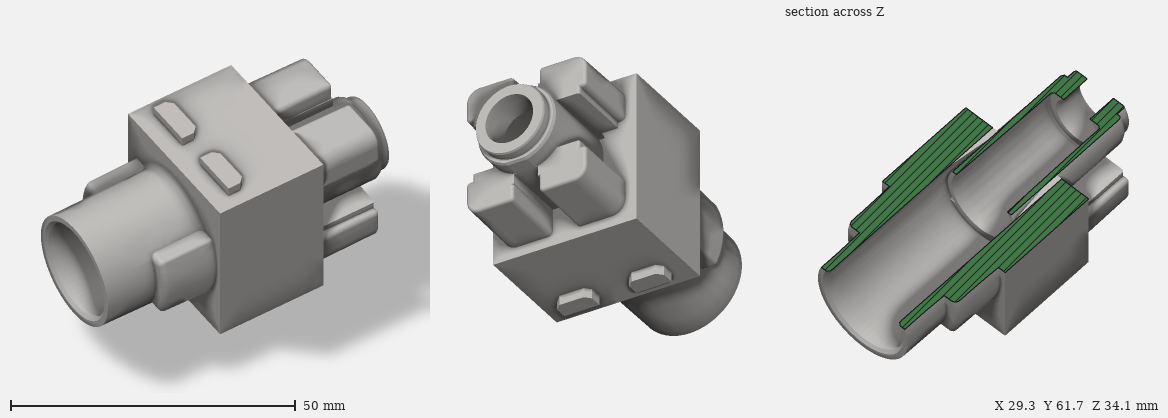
import cadquery as cq
import math


block_width = 29.3
block_height = 30.35
block_front = 21.0
block_back = 42.7

sleeve_draft = 0.6
sleeve_tip_radius = 10.7
sleeve_base_radius = sleeve_tip_radius + block_front * math.tan(math.radians(sleeve_draft))
sleeve_base_fillet = 1.05
sleeve_bore_radius = 9.0
sleeve_bore_chamfer = 0.55
sleeve_bore_depth = 30.85

barrel_radius = 7.95
barrel_flat_height = 7.7
barrel_back = 59.6
barrel_bevel = 0.55
nose_radius = 7.05
nose_back = 61.7
nose_bevel = 0.4
inner_bore_mouth_radius = 7.1
inner_bore_end_radius = 6.85
inner_bore_chamfer = 0.45
inner_bore_depth = 55.5
through_hole_radius = 4.9

wing_radius = 13.6
wing_half_height = 6.35
wing_front = 10.05
wing_draft = 1.0
wing_edge_fillet = 0.6
wing_tip_fillet = 1.1

prong_back = 56.0
prong_draft = 0.7
prong_inner_x = 2.45
prong_outer_x = 12.4
filler_half_width = 2.7
prong_inner_z = 6.1
prong_outer_z = 13.1
prong_outer_corner = 2.8
prong_corner = 0.9
prong_tip_fillet = 0.55
ledge_outer_x = 10.9
ledge_z = 4.95

web_half_height = 3.75
web_slope_end = 40.1

pad_height = 1.9
pad_front = 24.55
pad_back = 28.15
pad_chamfer = 1.1
pad_pitch = 14.75
top_pad_width = 9.1
bottom_pad_width = 7.15


def turned(points):
    """Solid of revolution about the Y axis from (radius, y) points."""
    return cq.Workplane("XY").polyline(points).close().revolve(360, (0, 0), (0, 1))


def box_between(low, high):
    """Axis-aligned box from its lowest to its highest corner."""
    size = [b - a for a, b in zip(low, high)]
    return cq.Workplane("XY").box(*size, centered=False).translate(low)


def make_block():
    return box_between(
        (-block_width / 2, block_front, -block_height / 2),
        (block_width / 2, block_back, block_height / 2),
    )


def make_sleeve():
    fillet_start = block_front - sleeve_base_fillet
    arc_offset = sleeve_base_fillet * (1 - math.sqrt(0.5))
    return (
        cq.Workplane("XY")
        .lineTo(sleeve_tip_radius, 0)
        .lineTo(sleeve_base_radius, fillet_start)
        .threePointArc(
            (sleeve_base_radius + arc_offset, block_front - arc_offset),
            (sleeve_base_radius + sleeve_base_fillet, block_front),
        )
        .lineTo(0, block_front)
        .close()
        .revolve(360, (0, 0), (0, 1))
    )


def bevelled_half(half_width, back, bevel):
    """Half outline from the axis out to half_width, with a bevel at its back end."""
    return [
        (0, block_front),
        (half_width, block_front),
        (half_width, back - bevel),
        (half_width - bevel / 2, back),
        (0, back),
    ]


def make_barrel():
    """Barrel with flats, filled out to the prongs on either side of each flat."""
    half_slab = (
        cq.Workplane("ZY")
        .polyline(bevelled_half(barrel_flat_height, barrel_back, barrel_bevel))
        .close()
        .extrude(barrel_radius, both=True)
    )
    slab = half_slab.union(half_slab.mirror("XY"))
    barrel = turned(bevelled_half(barrel_radius, barrel_back, barrel_bevel)).intersect(slab)
    nose = turned(bevelled_half(nose_radius, nose_back, nose_bevel))
    filler = box_between(
        (-filler_half_width, block_back, -barrel_flat_height),
        (filler_half_width, prong_back, barrel_flat_height),
    )
    return barrel.union(filler).union(nose)


def make_wings():
    """Both wings as one drafted bar with round ends; the bore parts them later."""
    corner_x = math.sqrt(wing_radius**2 - wing_half_height**2)
    return (
        cq.Workplane("XZ", origin=(0, block_front, 0))
        .moveTo(-corner_x, wing_half_height)
        .lineTo(corner_x, wing_half_height)
        .threePointArc((wing_radius, 0), (corner_x, -wing_half_height))
        .lineTo(-corner_x, -wing_half_height)
        .threePointArc((-wing_radius, 0), (-corner_x, wing_half_height))
        .close()
        .extrude(block_front - wing_front, taper=wing_draft)
        .edges("not(<Y or >Y)")
        .fillet(wing_edge_fillet)
        .faces("<Y")
        .edges()
        .fillet(wing_tip_fillet)
    )


def make_prong():
    """Prong in the +X, +Z quadrant with the ledge that faces the mid-plane."""
    center_x = (prong_inner_x + prong_outer_x) / 2
    center_z = (prong_inner_z + prong_outer_z) / 2
    outline = (
        cq.Sketch()
        .rect(prong_outer_z - prong_inner_z, prong_outer_x - prong_inner_x)
        .vertices(">X and >Y")
        .fillet(prong_outer_corner)
        .reset()
        .vertices("<X or <Y")
        .fillet(prong_corner)
    )
    prong = (
        cq.Workplane("ZX", origin=(center_x, block_back, center_z))
        .placeSketch(outline)
        .extrude(prong_back - block_back, taper=prong_draft)
        .faces(">Y")
        .edges()
        .fillet(prong_tip_fillet)
    )
    ledge = box_between(
        (prong_inner_x, block_back, ledge_z),
        (ledge_outer_x, prong_back, center_z),
    )
    return prong.union(ledge.edges(">X and >Y").fillet(prong_tip_fillet))


def make_pads(width):
    """Pair of pads standing on the top face of the block."""
    pads = cq.Workplane("XY")
    for side in (-1, 1):
        center_x = side * pad_pitch / 2
        pad = box_between(
            (center_x - width / 2, pad_front, block_height / 2),
            (center_x + width / 2, pad_back, block_height / 2 + pad_height),
        )
        pads = pads.add(pad.edges("|Z and >Y").chamfer(pad_chamfer))
    return pads.combine()


def make_bore():
    return turned([
        (0, 0),
        (sleeve_bore_radius + sleeve_bore_chamfer, 0),
        (sleeve_bore_radius, sleeve_bore_chamfer),
        (sleeve_bore_radius, sleeve_bore_depth),
        (inner_bore_mouth_radius, sleeve_bore_depth),
        (inner_bore_end_radius, inner_bore_depth - inner_bore_chamfer),
        (inner_bore_end_radius - inner_bore_chamfer, inner_bore_depth),
        (through_hole_radius, inner_bore_depth),
        (through_hole_radius, nose_back),
        (0, nose_back),
    ])


def make_side_slots():
    """Slots past the barrel through the block back, less the webs across them."""
    slot = turned([
        (barrel_radius, sleeve_bore_depth),
        (sleeve_bore_radius, sleeve_bore_depth),
        (sleeve_bore_radius, block_back),
        (barrel_radius, block_back),
    ])
    slope = turned([
        (barrel_radius, sleeve_bore_depth),
        (sleeve_bore_radius, sleeve_bore_depth),
        (barrel_radius, web_slope_end),
    ])
    reach = sleeve_bore_radius
    slot_band = box_between((-reach, 0, -ledge_z), (reach, block_back, ledge_z))
    web_band = box_between((-reach, 0, -web_half_height), (reach, block_back, web_half_height))
    return slot.intersect(slot_band.cut(web_band)).union(slope.intersect(web_band))


body = make_block().union(make_sleeve()).union(make_wings()).union(make_barrel())

right_top_prong = make_prong()
top_prongs = right_top_prong.union(right_top_prong.mirror("YZ"))
body = body.union(top_prongs).union(top_prongs.mirror("XY"))

body = body.union(make_pads(top_pad_width)).union(make_pads(bottom_pad_width).mirror("XY"))

result = body.cut(make_bore()).cut(make_side_slots())